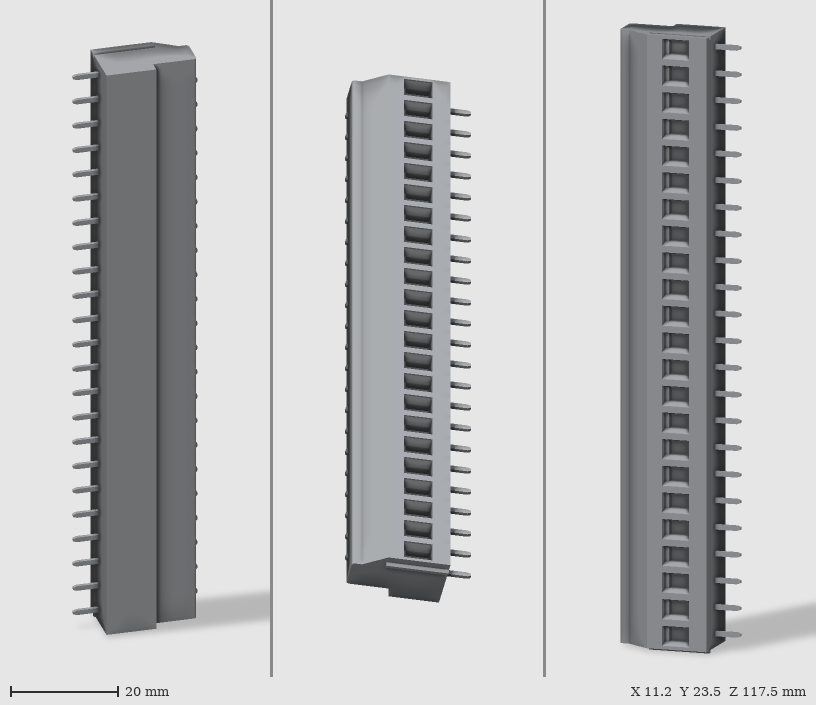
import cadquery as cq

poles = 23
body_length = 116.9
pitch = body_length / poles
tongue_height = 0.6

width = 11.2
depth = 18.1
crown_left = 2.9
crown_right = 8.9
slope_start = 11.7
slope_end = 16.2
step_height = 9.6
crown_radius = 0.6

entry_low = 3.4
mouth_high = 8.8
hole_high = 8.1
mouth_height = 3.9
hole_height = 2.8
lip_depth = 0.4
mouth_depth = 2.1
hole_depth = 3.5

pin_x = 5.4
pin_width = 0.7
pin_thickness = 0.9
pin_length = 4.9
pin_taper_length = 0.7
pin_taper_inset = 0.2
pin_root = 0.6

ridge_x = 7.4
ridge_width = 0.7
ridge_base = 1.2
ridge_rise = 0.5

tongue_left = 1.4
tongue_right = 2.3
tongue_flank = 0.4
tongue_length = 11.9


def make_body():
    """Constant section along Z with a rounded crown at the back."""
    outline = [
        (0, 0),
        (width, 0),
        (width, step_height),
        (crown_right, step_height),
        (crown_right, depth),
        (crown_left, depth),
        (crown_left, slope_end),
        (0, slope_start),
    ]
    body = cq.Workplane("XY").polyline(outline).close().extrude(body_length)
    return body.faces(">Y").edges("|Z").fillet(crown_radius)


def make_entry(z):
    """Cutter for one wire entry, centred on height z."""
    half_mouth = mouth_height / 2
    half_hole = hole_height / 2
    mouth_side = [
        (0, -half_mouth),
        (lip_depth, -half_mouth),
        (mouth_depth, -half_hole),
        (mouth_depth, half_hole),
        (lip_depth, half_mouth),
        (0, half_mouth),
    ]
    mouth = cq.Workplane("XZ").polyline(mouth_side).close().extrude(entry_low - mouth_high)
    hole = cq.Workplane("XY").box(
        hole_depth, hole_high - entry_low, hole_height, centered=(False, False, True)
    )
    return mouth.union(hole).translate((0, entry_low, z))


def make_pin(z):
    """Pin with a tip thinned from above and below, rooted inside the body."""
    shank_length = pin_length - pin_taper_length + pin_root
    root = cq.Workplane("XZ", origin=(pin_x, pin_root, z))
    shank = root.rect(pin_width, pin_thickness).extrude(shank_length)
    return (
        shank.faces("<Y").workplane(centerOption="CenterOfMass")
        .rect(pin_width, pin_thickness)
        .workplane(offset=pin_taper_length)
        .rect(pin_width, pin_thickness - 2 * pin_taper_inset)
        .loft(ruled=True)
    )


def make_tongue():
    """Tongue below the lower end, with one sloped flank."""
    outline = [
        (tongue_left, 0),
        (tongue_right, 0),
        (tongue_right, -tongue_height),
        (tongue_left + tongue_flank, -tongue_height),
    ]
    return cq.Workplane("XZ").polyline(outline).close().extrude(-tongue_length)


def make_ridge(z):
    """Rounded ridge standing on the crown at height z."""
    start = (ridge_x - ridge_width / 2, depth, z)
    half_base = ridge_base / 2
    return (
        cq.Workplane("YZ", origin=start)
        .moveTo(0, -half_base)
        .threePointArc((ridge_rise, 0), (0, half_base))
        .close()
        .extrude(ridge_width)
    )


tongue = make_tongue()
result = make_body().cut(tongue.translate((0, 0, body_length)))
for pole in range(poles):
    pole_z = (pole + 0.5) * pitch
    result = result.cut(make_entry(pole_z)).union(make_pin(pole_z))
for boundary in range(1, poles):
    result = result.union(make_ridge(boundary * pitch))
result = result.union(tongue)